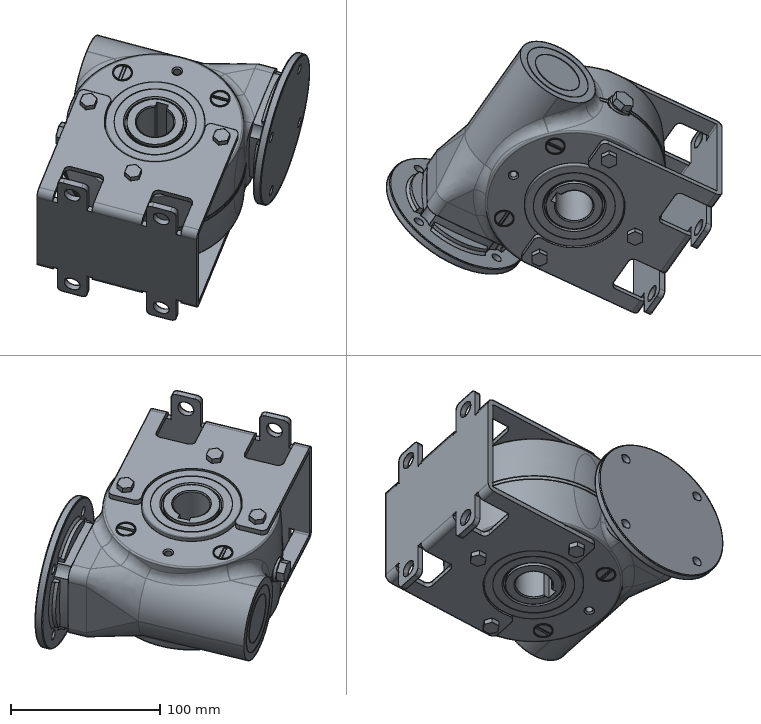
import cadquery as cq
import math

HOUSING_HALF_HEIGHT = 38.0
HOUSING_END_RADIUS = 59.5
HOUSING_MID_RADIUS = 61.0
HOUSING_EDGE_FILLET = 1.3
SEAM_WIDTH = 3.0
SEAM_RADIUS = 61.4
BOSS_DIAMETER = 67.0
BOSS_HALF_HEIGHT = 41.3
BOSS_EDGE_FILLET = 0.5

SEAL_DIAMETER = 55.0
SEAL_RECESS = 0.4
SHAFT_DIAMETER = 38.0
SEAL_LIP_DIAMETER = 40.5
SEAL_LIP_MOUTH = 42.5
SHAFT_GAP_DEPTH = 2.0
BORE_DIAMETER = 25.0
BORE_CHAMFER = 0.8
KEYWAY_WIDTH = 8.0
KEYWAY_TOP = 15.8

WORM_AXIS_Y = 50.0
WORM_RADIUS = 29.0
WORM_ROUND_CORNER = 28.9
WORM_LEFT_X = -65.0
WORM_ROUND_END_X = 10.0
WORM_SQUARE_START_X = 46.8
WORM_RIGHT_X = 59.8
WORM_FILLET = 8.0
SQUARE_SIDE = 59.6
SQUARE_CORNER = 8.5
CAP_DIAMETERS = (47.0, 34.0)
CAP_STEP = 0.3

FLANGE_DIAMETER = 105.0
FLANGE_FACE_X = 75.5
FLANGE_BACK_X = 70.0
FLANGE_CHAMFER = 0.6
FLANGE_HOLE_DIAMETER = 7.0
FLANGE_HOLE_CIRCLE = 85.0
NECK_HALF_SIDE = 30.3
NECK_HALF_CORNER = 28.0
NECK_CORNER_RELIEF = 7.8
COLLAR_RADIUS = 38.2
COLLAR_BACK_X = 65.6
COLLAR_FOOT = 1.8
COLLAR_CORNER_RELIEF = 9.6

PLATE_THICKNESS = 4.0
BRACKET_HALF_WIDTH = 56.5
BRACKET_TOP_Y = 10.0
BRACKET_BASE_Y = -82.0
BRACKET_HALF_HEIGHT = HOUSING_HALF_HEIGHT + PLATE_THICKNESS
BRACKET_HOLE_DIAMETER = 68.0
BEND_OUTER_RADIUS = 5.0
BEND_INNER_RADIUS = BEND_OUTER_RADIUS - PLATE_THICKNESS
EAR_CORNER = 4.0
WINDOW_INNER_X = 17.5
WINDOW_OUTER_X = 45.3
WINDOW_TOP_Y = -54.0
WINDOW_CORNER = 4.0
TAB_X = 31.5
TAB_WIDTH = 21.0
TAB_END_Z = 61.0
TAB_CORNER = 4.0
TAB_HOLE_Z = 50.0
TAB_HOLE_DIAMETER = 11.0
TAB_SLOT_LENGTH = 12.0

BOLT_CIRCLE_RADIUS = 47.0
BOLT_FLATS = 10.0
BOLT_HEAD_HEIGHT = 4.0
BOLT_ANGLES = (0, 180, 270)
COVER_PLUG_OFFSET = 34.5
COVER_PLUG_DIAMETER = 12.0
COVER_PLUG_SEAT = 13.3
COVER_PLUG_SLOT = 2.0
COVER_PLUG_SLOT_DEPTH = 1.5
COVER_PLUG_GROOVE_DEPTH = 0.6
TAPPED_HOLE_DIAMETER = 4.92
TAPPED_HOLE_MOUTH = 7.0
TAPPED_HOLE_DEPTH = 10.0
SIDE_PLUG_DEPTH = 5.0
SIDE_PLUG_END_X = -68.1
SIDE_PLUG_HEAD_X = -62.8
SIDE_PLUG_FLATS = 13.0
SIDE_PLUG_WASHER_DIAMETER = 16.66
SIDE_PLUG_SPOTFACE_DIAMETER = 18.0
SIDE_PLUG_SPOTFACE_X = -60.6


def disc(diameter, bottom, top):
    """Cylinder around the Z axis between two heights."""
    return cq.Workplane("XY").workplane(offset=bottom).circle(diameter / 2).extrude(top - bottom)


def cone_mouth(small_diameter, large_diameter, top):
    """45 degree cone round the Z axis that widens upwards to the given height."""
    depth = (large_diameter - small_diameter) / 2
    base = cq.Vector(0, 0, top - depth)
    return cq.Workplane(cq.Solid.makeCone(small_diameter / 2, large_diameter / 2, depth, base))


def worm_disc(radius, start_x, end_x):
    """Cylinder around the worm axis between two X positions."""
    plane = cq.Workplane("YZ", origin=(start_x, WORM_AXIS_Y, 0))
    return plane.circle(radius).extrude(end_x - start_x)


def hexagon(plane, flats, height):
    """Hexagonal head with two corners on the local Y axis."""
    corners = flats / math.cos(math.pi / 6)
    return plane.transformed(rotate=(0, 0, 90)).polygon(6, corners).extrude(height)


def both_ends(solid):
    """The solid together with its mirror image below the XY plane."""
    return solid.union(solid.mirror("XY"))


def rounded_square(side, corner):
    """Square sketch with rounded corners."""
    return cq.Sketch().rect(side, side).vertices().fillet(corner)


def bulged_square(half_side, half_corner):
    """Square whose four sides bow outwards from the corners to their middles."""
    return (
        cq.Sketch()
        .arc((half_corner, -half_corner), (half_side, 0), (half_corner, half_corner))
        .arc((half_corner, half_corner), (0, half_side), (-half_corner, half_corner))
        .arc((-half_corner, half_corner), (-half_side, 0), (-half_corner, -half_corner))
        .arc((-half_corner, -half_corner), (0, -half_side), (half_corner, -half_corner))
        .assemble()
    )


def make_worm_tube():
    """Worm housing: round on the left, turning into a rounded square towards the motor.

    The round section is a square with almost full-radius corners, so that it has
    the same eight edges as the square section and the two join smoothly.
    """
    nearly_round = rounded_square(2 * WORM_RADIUS, WORM_ROUND_CORNER)
    left_end = cq.Workplane("YZ", origin=(WORM_LEFT_X, WORM_AXIS_Y, 0))
    round_part = left_end.placeSketch(nearly_round).extrude(WORM_ROUND_END_X - WORM_LEFT_X)
    square = rounded_square(SQUARE_SIDE, SQUARE_CORNER)
    start = cq.Workplane("YZ", origin=(WORM_ROUND_END_X, WORM_AXIS_Y, 0))
    transition = start.placeSketch(
        nearly_round,
        square.moved(cq.Location(cq.Vector(0, 0, WORM_SQUARE_START_X - WORM_ROUND_END_X))),
    ).loft()
    end = cq.Workplane("YZ", origin=(WORM_SQUARE_START_X, WORM_AXIS_Y, 0))
    block = end.placeSketch(square).extrude(FLANGE_FACE_X - WORM_SQUARE_START_X)
    return round_part.union(transition).union(block)


def lies_on_drum_wall(edge):
    """True for an edge on the crowned wall where the worm housing runs into it."""
    tolerance = 0.1
    inner = HOUSING_END_RADIUS - tolerance
    outer = HOUSING_MID_RADIUS + tolerance
    for point in edge.positions((0.0, 0.3, 0.5, 0.8, 1.0)):
        on_wall = inner < math.hypot(point.x, point.y) < outer
        below_rim = abs(point.z) < HOUSING_HALF_HEIGHT - HOUSING_EDGE_FILLET
        if not (on_wall and below_rim and point.y > 0):
            return False
    return True


def make_housing():
    """Crowned drum blended into the worm housing."""
    drum = (
        cq.Workplane("XZ")
        .moveTo(0, -HOUSING_HALF_HEIGHT)
        .lineTo(HOUSING_END_RADIUS, -HOUSING_HALF_HEIGHT)
        .threePointArc((HOUSING_MID_RADIUS, 0), (HOUSING_END_RADIUS, HOUSING_HALF_HEIGHT))
        .lineTo(0, HOUSING_HALF_HEIGHT)
        .close()
        .revolve(360, (0, 0), (0, 1))
        .rotate((0, 0, 0), (0, 0, 1), -90)
    )
    joined = drum.union(make_worm_tube())
    meeting_edges = [edge for edge in joined.edges().vals() if lies_on_drum_wall(edge)]
    joined = joined.newObject(meeting_edges).fillet(WORM_FILLET)
    joined = joined.faces("<Z or >Z").edges().fillet(HOUSING_EDGE_FILLET)
    right_side = worm_disc(FLANGE_DIAMETER, WORM_RIGHT_X, FLANGE_FACE_X)
    drum_end = drum.intersect(right_side)
    seam = disc(2 * SEAM_RADIUS, -SEAM_WIDTH / 2, SEAM_WIDTH / 2)
    boss = disc(BOSS_DIAMETER, 0, BOSS_HALF_HEIGHT).faces(">Z").edges().fillet(BOSS_EDGE_FILLET)
    return joined.cut(right_side).union(drum_end).union(seam).union(both_ends(boss))


def flange_corner_cylinders(radius, start_x, end_x):
    """Four cylinders standing on the flange bolt circle, 45 degrees off the axes."""
    spacing = FLANGE_HOLE_CIRCLE / math.sqrt(2)
    plane = cq.Workplane("YZ", origin=(start_x, WORM_AXIS_Y, 0))
    centres = plane.rect(spacing, spacing, forConstruction=True).vertices()
    return centres.circle(radius).extrude(end_x - start_x)


def make_motor_flange():
    """Square neck, interrupted collar and round plate that carry the motor."""
    neck_plane = cq.Workplane("YZ", origin=(WORM_RIGHT_X, WORM_AXIS_Y, 0))
    neck_outline = bulged_square(NECK_HALF_SIDE, NECK_HALF_CORNER)
    neck = neck_plane.placeSketch(neck_outline).extrude(FLANGE_BACK_X - WORM_RIGHT_X)
    neck = neck.cut(flange_corner_cylinders(NECK_CORNER_RELIEF, WORM_RIGHT_X, FLANGE_BACK_X))
    collar = worm_disc(COLLAR_RADIUS, COLLAR_BACK_X, FLANGE_BACK_X)
    foot_base = cq.Vector(FLANGE_BACK_X - COLLAR_FOOT, WORM_AXIS_Y, 0)
    foot = cq.Solid.makeCone(
        COLLAR_RADIUS, COLLAR_RADIUS + COLLAR_FOOT, COLLAR_FOOT, foot_base, cq.Vector(1, 0, 0)
    )
    collar = collar.union(cq.Workplane(foot))
    collar = collar.cut(flange_corner_cylinders(COLLAR_CORNER_RELIEF, COLLAR_BACK_X, FLANGE_BACK_X))
    plate = worm_disc(FLANGE_DIAMETER / 2, FLANGE_BACK_X, FLANGE_FACE_X).edges().chamfer(FLANGE_CHAMFER)
    plate = plate.cut(flange_corner_cylinders(FLANGE_HOLE_DIAMETER / 2, FLANGE_BACK_X, FLANGE_FACE_X))
    return neck.union(collar).union(plate)


def make_bracket():
    """U-shaped sheet: a base plate, two side plates and four foot tabs."""
    width = 2 * BRACKET_HALF_WIDTH
    length = BRACKET_TOP_Y - BRACKET_BASE_Y
    centre_y = (BRACKET_TOP_Y + BRACKET_BASE_Y) / 2
    outer = cq.Workplane("XY").box(width, length, 2 * BRACKET_HALF_HEIGHT).translate((0, centre_y, 0))
    outer = outer.faces("<Y").edges("|X").fillet(BEND_OUTER_RADIUS)
    outer = outer.faces(">Y").edges("|Z").fillet(EAR_CORNER)
    inner = cq.Workplane("XY").box(width, length, 2 * HOUSING_HALF_HEIGHT)
    inner = inner.translate((0, centre_y + PLATE_THICKNESS, 0))
    inner = inner.faces("<Y").edges("|X").fillet(BEND_INNER_RADIUS)
    bracket = outer.cut(inner)
    bracket = bracket.cut(disc(BRACKET_HOLE_DIAMETER, -BRACKET_HALF_HEIGHT, BRACKET_HALF_HEIGHT))
    ear_tip_x = math.sqrt((BRACKET_HOLE_DIAMETER / 2) ** 2 - BRACKET_TOP_Y**2)
    margin = 1.0
    tip_box = cq.selectors.BoxSelector(
        (-ear_tip_x - margin, BRACKET_TOP_Y - margin, -BRACKET_HALF_HEIGHT),
        (ear_tip_x + margin, BRACKET_TOP_Y + margin, BRACKET_HALF_HEIGHT),
    )
    bracket = bracket.edges("|Z").edges(tip_box).fillet(EAR_CORNER)

    bend_z = BRACKET_HALF_HEIGHT - BEND_OUTER_RADIUS
    window_width = WINDOW_OUTER_X - WINDOW_INNER_X
    window_length = WINDOW_TOP_Y - BRACKET_BASE_Y
    window = (
        cq.Workplane("XY")
        .box(window_width, window_length, BEND_OUTER_RADIUS, centered=(True, False, False))
        .translate(((WINDOW_INNER_X + WINDOW_OUTER_X) / 2, BRACKET_BASE_Y, bend_z))
        .faces(">Y")
        .edges("|Z")
        .fillet(WINDOW_CORNER)
    )
    tab = (
        cq.Workplane("XY")
        .box(TAB_WIDTH, PLATE_THICKNESS, TAB_END_Z - bend_z, centered=(True, False, False))
        .faces(">Z")
        .edges("|Y")
        .fillet(TAB_CORNER)
        .translate((TAB_X, BRACKET_BASE_Y, bend_z))
    )
    tab_hole = (
        cq.Workplane("XZ", origin=(TAB_X, BRACKET_BASE_Y + PLATE_THICKNESS, TAB_HOLE_Z))
        .slot2D(TAB_SLOT_LENGTH, TAB_HOLE_DIAMETER, 90)
        .extrude(PLATE_THICKNESS)
    )
    tab = tab.cut(tab_hole)
    for side in (window, window.mirror("YZ")):
        bracket = bracket.cut(both_ends(side))
    for side in (tab, tab.mirror("YZ")):
        bracket = bracket.union(both_ends(side))
    return bracket


def make_bracket_bolts():
    """Hexagonal bolt heads on both side plates."""
    bolts = cq.Workplane("XY")
    for angle in BOLT_ANGLES:
        x = BOLT_CIRCLE_RADIUS * math.cos(math.radians(angle))
        y = BOLT_CIRCLE_RADIUS * math.sin(math.radians(angle))
        plane = cq.Workplane("XY", origin=(x, y, BRACKET_HALF_HEIGHT))
        bolts = bolts.union(hexagon(plane, BOLT_FLATS, BOLT_HEAD_HEIGHT))
    return both_ends(bolts)


def make_side_plug():
    """Hexagonal oil plug with washer on the -X side of the drum."""
    spotface = cq.Workplane("YZ", origin=(SIDE_PLUG_SPOTFACE_X, 0, 0))
    pad = spotface.circle(SIDE_PLUG_SPOTFACE_DIAMETER / 2).extrude(SIDE_PLUG_DEPTH)
    washer_plane = cq.Workplane("YZ", origin=(SIDE_PLUG_HEAD_X, 0, 0))
    washer = washer_plane.circle(SIDE_PLUG_WASHER_DIAMETER / 2).extrude(SIDE_PLUG_DEPTH)
    head_plane = cq.Workplane("YZ", origin=(SIDE_PLUG_END_X, 0, 0))
    head = hexagon(head_plane, SIDE_PLUG_FLATS, SIDE_PLUG_HEAD_X - SIDE_PLUG_END_X)
    return pad.union(washer).union(head)


def shaft_end_cuts():
    """Seal recess and the gap round the shaft at both ends of the drum."""
    seal_z = BOSS_HALF_HEIGHT - SEAL_RECESS
    recess = disc(SEAL_DIAMETER, seal_z, BOSS_HALF_HEIGHT)
    gap = disc(SEAL_LIP_DIAMETER, seal_z - SHAFT_GAP_DEPTH, BOSS_HALF_HEIGHT)
    gap = gap.union(cone_mouth(SEAL_LIP_DIAMETER, SEAL_LIP_MOUTH, seal_z))
    shaft = disc(SHAFT_DIAMETER, 0, BOSS_HALF_HEIGHT)
    return both_ends(recess.union(gap).cut(shaft))


def bore_cut():
    """Through bore with a keyway and chamfered mouths."""
    length = 2 * BOSS_HALF_HEIGHT
    bore = disc(BORE_DIAMETER, -BOSS_HALF_HEIGHT, BOSS_HALF_HEIGHT)
    keyway = cq.Workplane("XY").box(KEYWAY_WIDTH, KEYWAY_TOP, length, centered=(True, False, True))
    countersink = cone_mouth(BORE_DIAMETER, BORE_DIAMETER + 2 * BORE_CHAMFER, BOSS_HALF_HEIGHT)
    return bore.union(keyway).union(both_ends(countersink))


def cover_plug_cut(x, slot_angle):
    """Ring groove and screwdriver slot of a flush plug in the cover face."""
    face = cq.Workplane("XY", origin=(x, COVER_PLUG_OFFSET, HOUSING_HALF_HEIGHT))
    ring = face.circle(COVER_PLUG_SEAT / 2).circle(COVER_PLUG_DIAMETER / 2).extrude(-COVER_PLUG_GROOVE_DEPTH)
    slot_plane = face.transformed(rotate=(0, 0, slot_angle))
    slot = slot_plane.rect(COVER_PLUG_DIAMETER, COVER_PLUG_SLOT).extrude(-COVER_PLUG_SLOT_DEPTH)
    return ring.union(slot)


def tapped_hole_cut():
    """Countersunk threaded hole in the cover face."""
    hole = disc(TAPPED_HOLE_DIAMETER, HOUSING_HALF_HEIGHT - TAPPED_HOLE_DEPTH, HOUSING_HALF_HEIGHT)
    mouth = cone_mouth(TAPPED_HOLE_DIAMETER, TAPPED_HOLE_MOUTH, HOUSING_HALF_HEIGHT)
    return hole.union(mouth).translate((0, BOLT_CIRCLE_RADIUS, 0))


def worm_cap_cuts():
    """Shallow steps in the closed end of the worm housing."""
    cuts = cq.Workplane("XY")
    for step, diameter in enumerate(CAP_DIAMETERS, start=1):
        cuts = cuts.union(worm_disc(diameter / 2, WORM_LEFT_X, WORM_LEFT_X + step * CAP_STEP))
    return cuts


housing = make_housing().union(make_motor_flange()).cut(worm_cap_cuts())
housing = housing.cut(both_ends(cover_plug_cut(-COVER_PLUG_OFFSET, 90)))
housing = housing.cut(both_ends(cover_plug_cut(COVER_PLUG_OFFSET, 0)))
housing = housing.cut(both_ends(tapped_hole_cut()))
housing = housing.cut(shaft_end_cuts()).cut(bore_cut())
result = housing.union(make_bracket()).union(make_bracket_bolts()).union(make_side_plug())